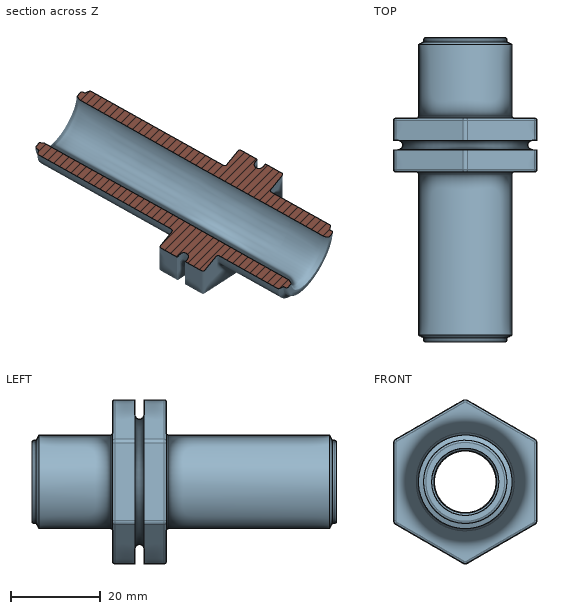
import cadquery as cq
import math


QUARTER_ARC_INSET = 1 - math.sqrt(0.5)

HEX_SIDES = 6
HEX_TURN = 180 / HEX_SIDES
ACROSS_FLATS = 32.0
FLANGE_LENGTH = 12.0
GAP = 2.1
HEX_THICKNESS = (FLANGE_LENGTH - GAP) / 2
CORNER_RADIUS = 1.0
RIM_FILLET = 0.5
FLANGE_HALF = FLANGE_LENGTH / 2

NECK_RADIUS = 14.0
GROOVE_RADIUS = 1.0
NECK_EDGE_RADIUS = NECK_RADIUS + GROOVE_RADIUS

TUBE_RADIUS = 20.9 / 2
ROOT_FILLET = 0.5
LONG_TUBE = 38.0
SHORT_TUBE = 18.0
FRONT_END = -FLANGE_HALF - LONG_TUBE
BACK_END = FLANGE_HALF + SHORT_TUBE

TIP_RADIUS = 18.6 / 2
SHOULDER_SETBACK = 1.55
TIP_LENGTH = 0.95
TIP_FILLET = 0.5

BORE_RADIUS = 14.0 / 2
WAIST_RADIUS = 13.8 / 2
BORE_STRAIGHT_DEPTH = 10.0
BORE_CHAMFER = 0.5
BORE_CHAMFER_DEPTH = 1.0


def revolve_about_y(profile):
    """Close a half profile in the XY plane and spin it a full turn about the Y axis."""
    return profile.close().revolve(360, (0, 0, 0), (0, 1, 0))


def make_hexagon(y_start, outer_face):
    """Hexagonal plate with flats facing +X and -X, rounded around its outer face."""
    across_corners = ACROSS_FLATS / math.cos(math.pi / HEX_SIDES)
    plate = (
        cq.Workplane("XZ", origin=(0, y_start, 0))
        .transformed(rotate=(0, 0, HEX_TURN))
        .polygon(HEX_SIDES, across_corners)
        .extrude(-HEX_THICKNESS)
    )
    plate = plate.edges("|Y").fillet(CORNER_RADIUS)
    return plate.faces(outer_face).edges().fillet(RIM_FILLET)


def make_neck():
    """Disc joining the hexagons, with a half-round groove between two thin lips."""
    half_gap = GAP / 2
    return revolve_about_y(
        cq.Workplane("XY")
        .moveTo(0, -half_gap)
        .lineTo(NECK_EDGE_RADIUS, -half_gap)
        .lineTo(NECK_EDGE_RADIUS, -GROOVE_RADIUS)
        .threePointArc((NECK_RADIUS, 0), (NECK_EDGE_RADIUS, GROOVE_RADIUS))
        .lineTo(NECK_EDGE_RADIUS, half_gap)
        .lineTo(0, half_gap)
    )


def make_tube(end, direction):
    """Solid tube from the origin to its end, with a shouldered and rounded tip."""
    bend_offset = TIP_FILLET * QUARTER_ARC_INSET
    return revolve_about_y(
        cq.Workplane("XY")
        .lineTo(TUBE_RADIUS, 0)
        .lineTo(TUBE_RADIUS, end - direction * SHOULDER_SETBACK)
        .lineTo(TIP_RADIUS, end - direction * TIP_LENGTH)
        .lineTo(TIP_RADIUS, end - direction * TIP_FILLET)
        .threePointArc(
            (TIP_RADIUS - bend_offset, end - direction * bend_offset),
            (TIP_RADIUS - TIP_FILLET, end),
        )
        .lineTo(0, end)
    )


def make_root_fillet(direction):
    """Ring of material blending the tube into the outer face of the flange."""
    face = direction * FLANGE_HALF
    bend_offset = ROOT_FILLET * QUARTER_ARC_INSET
    return revolve_about_y(
        cq.Workplane("XY")
        .lineTo(0, face)
        .lineTo(TUBE_RADIUS + ROOT_FILLET, face)
        .threePointArc(
            (TUBE_RADIUS + bend_offset, face + direction * bend_offset),
            (TUBE_RADIUS, face + direction * ROOT_FILLET),
        )
        .lineTo(0, face + direction * ROOT_FILLET)
    )


def make_bore():
    """Through bore, chamfered at both mouths, straight inside them and tapering to a slight waist."""
    mouth_radius = BORE_RADIUS + BORE_CHAMFER
    return revolve_about_y(
        cq.Workplane("XY")
        .moveTo(0, FRONT_END)
        .lineTo(mouth_radius, FRONT_END)
        .lineTo(BORE_RADIUS, FRONT_END + BORE_CHAMFER_DEPTH)
        .lineTo(BORE_RADIUS, FRONT_END + BORE_STRAIGHT_DEPTH)
        .lineTo(WAIST_RADIUS, (FRONT_END + BACK_END) / 2)
        .lineTo(BORE_RADIUS, BACK_END - BORE_STRAIGHT_DEPTH)
        .lineTo(BORE_RADIUS, BACK_END - BORE_CHAMFER_DEPTH)
        .lineTo(mouth_radius, BACK_END)
        .lineTo(0, BACK_END)
    )


body = make_neck()
body = body.union(make_hexagon(-FLANGE_HALF, "<Y"))
body = body.union(make_hexagon(GAP / 2, ">Y"))
for end, direction in ((FRONT_END, -1), (BACK_END, 1)):
    body = body.union(make_tube(end, direction))
    body = body.union(make_root_fillet(direction))

result = body.cut(make_bore())